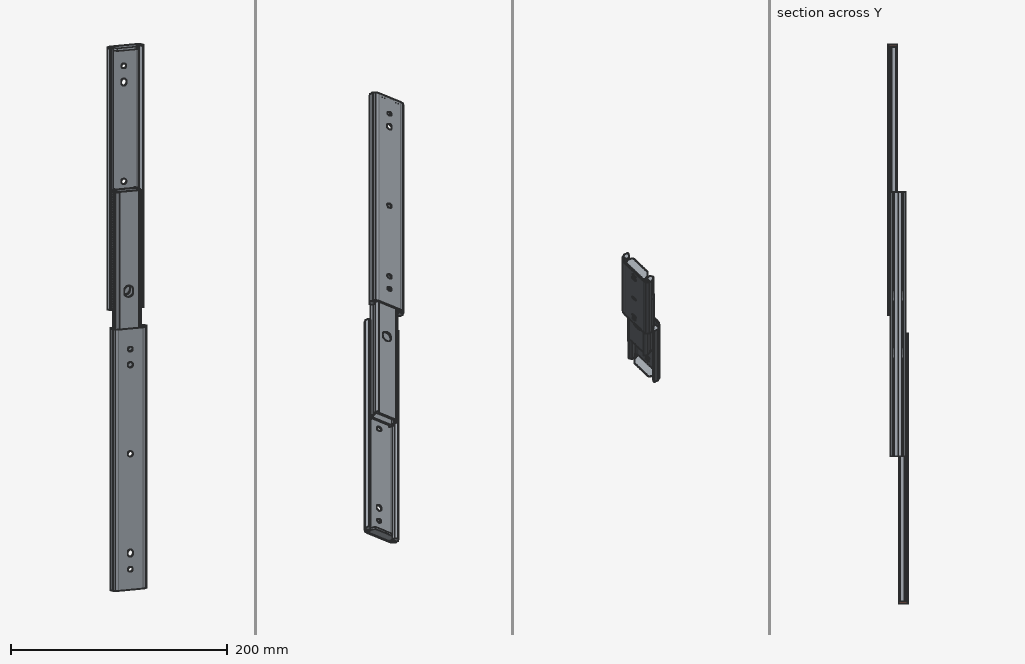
import cadquery as cq

total_length = 516.0
total_depth = 19.0
total_width = 35.5

rail_length = 250.0
wall = 1.3
rail_gap = 1.0
web_half_width = 12.0
track_half_width = 13.0
track_depth = 5.0
lip_bevel_depth = 1.5
lip_bevel_width = 2.5
crest_drop = 1.3
shoulder_rise = 0.5
shoulder_width = 3.0
bend_depth = 2.0
bend_width = 2.0
flank_depth = 3.0

channel_length = 244.0
channel_width = 25.0
channel_depth = 7.0
channel_wall = 1.5
web_inset = 2.0
recess_half_width = 10.0
edge_depth = 1.5
shallow_facet_drop = 0.75
steep_facet_drop = 1.3
seam_radius = 1.3

stop_thickness = 2.5
stop_bevel_depth = 3.5
stop_bevel_width = 2.5

small_hole_diameter = 4.5
small_hole_distances = [19.5, 230.0]
large_hole_diameter = 5.0
large_hole_distances = [130.0, 215.0]
slot_distance = 35.0
slot_width = 5.0
slot_height = 6.5

access_width = 9.0
access_height = 11.0
access_offset = 26.5

half_length = total_length / 2
half_depth = total_depth / 2
half_width = total_width / 2
rail_back = -half_depth
rail_front = -rail_gap / 2


def turned(body):
    """Copy of a body turned half a turn about the Y axis."""
    return body.rotate((0, 0, 0), (0, 1, 0), 180)


def mirrored_outline(points):
    """Close an outline given for Y > 0 that is symmetric about Y = 0."""
    lower_points = [(x, -y) for x, y in reversed(points)]
    return cq.Workplane("XY").polyline(points + lower_points).close()


def cross_hole(diameter, z):
    """Round cutter along X at height z."""
    plane = cq.Workplane("YZ", origin=(0, 0, z))
    return plane.circle(diameter / 2).extrude(half_depth, both=True)


def cross_slot(width, height, z):
    """Upright slot cutter along X at height z."""
    plane = cq.Workplane("YZ", origin=(0, 0, z))
    return plane.slot2D(height, width, 90).extrude(half_depth, both=True)


def make_rail():
    """Upper outer rail: a channel open towards +X with a ball track along each edge."""
    shoulder_x = rail_back + shoulder_rise
    shoulder_y = web_half_width + shoulder_width
    bend_x = shoulder_x + bend_depth
    bend_y = shoulder_y + bend_width
    track_back = rail_front - track_depth
    outline = [
        (rail_back, web_half_width),
        (shoulder_x, shoulder_y),
        (bend_x, bend_y),
        (bend_x + flank_depth, half_width),
        (rail_front, half_width - crest_drop),
        (rail_front, track_half_width + lip_bevel_width),
        (rail_front - lip_bevel_depth, track_half_width),
        (track_back, track_half_width),
        (track_back, bend_y - wall),
        (bend_x, bend_y - wall),
        (shoulder_x + wall, shoulder_y - wall / 2),
        (rail_back + wall, web_half_width),
    ]
    rail = mirrored_outline(outline).extrude(rail_length)
    rail = rail.translate((0, 0, half_length - rail_length))
    for distance in small_hole_distances:
        rail = rail.cut(cross_hole(small_hole_diameter, half_length - distance))
    for distance in large_hole_distances:
        rail = rail.cut(cross_hole(large_hole_diameter, half_length - distance))
    return rail.cut(cross_slot(slot_width, slot_height, half_length - slot_distance))


def make_channel():
    """Channel on the -X side: flanges up to X = 0, web set in from the flange edges."""
    half = channel_width / 2
    web_outer = web_inset - channel_depth
    web_inner = web_outer + channel_wall
    facet_y = half - shallow_facet_drop
    outline = [
        (0, half),
        (2 * edge_depth - channel_depth, half),
        (edge_depth - channel_depth, facet_y),
        (-channel_depth, facet_y - steep_facet_drop),
        (-channel_depth, recess_half_width),
        (web_outer, recess_half_width),
    ]
    channel = mirrored_outline(outline).extrude(channel_length)
    channel = channel.edges("|Z and >X").fillet(seam_radius)
    hollow_width = channel_width - 2 * channel_wall
    hollow = cq.Workplane("XY").center(web_inner / 2, 0).rect(-web_inner, hollow_width)
    channel = channel.cut(hollow.extrude(channel_length))
    channel = channel.translate((0, 0, -channel_length / 2))
    for z in (-access_offset, access_offset):
        channel = channel.cut(cross_slot(access_width, access_height, z))
    return channel


def make_stop():
    """Flat stop across the upper end of the upper rail, bevelled on its open side."""
    stop_back = rail_back + wall
    outline = [
        (stop_back, web_half_width),
        (rail_front - stop_bevel_depth, web_half_width),
        (rail_front, web_half_width - stop_bevel_width),
    ]
    stop = mirrored_outline(outline).extrude(stop_thickness)
    return stop.translate((0, 0, half_length - stop_thickness))


upper_rail = make_rail()
lower_rail = turned(upper_rail)
left_channel = make_channel()
right_channel = turned(left_channel)
upper_stop = make_stop()
lower_stop = turned(upper_stop)

bodies = [upper_rail, lower_rail, left_channel, right_channel, upper_stop, lower_stop]
result = cq.Compound.makeCompound([body.val() for body in bodies])